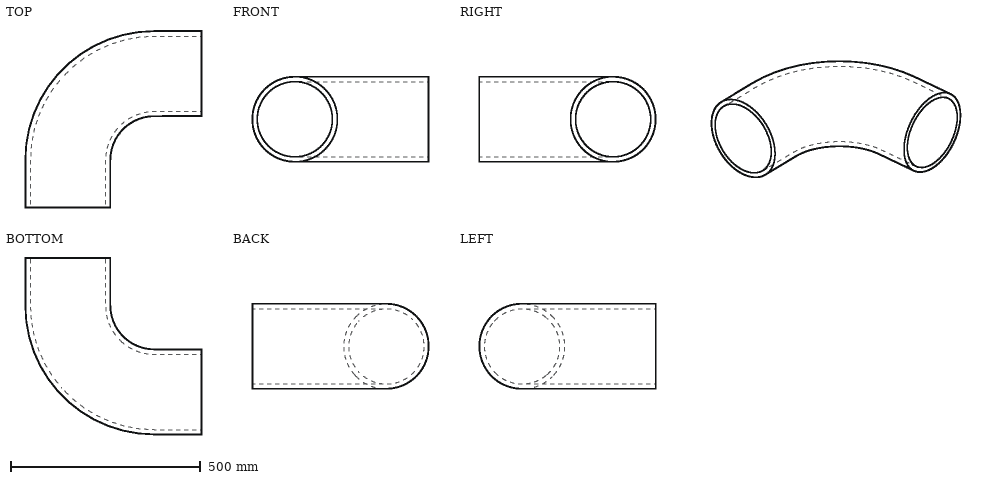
import cadquery as cq

overall_length = 465.5
outer_diameter = 225.0
bore_diameter = 198.5
straight_length = 125.0

bend_radius = overall_length - straight_length - outer_diameter / 2
bend_angle = 90


def ring(plane):
    """Pipe cross-section centred on the given plane."""
    return cq.Workplane(plane).circle(outer_diameter / 2).circle(bore_diameter / 2)


lower_end = cq.Plane(origin=(-bend_radius, 0, 0), xDir=(1, 0, 0), normal=(0, -1, 0))
upper_end = cq.Plane(origin=(0, bend_radius, 0), xDir=(0, 1, 0), normal=(1, 0, 0))

bend = ring(lower_end).revolve(bend_angle, (bend_radius, 0), (bend_radius, -1))

lower_leg = ring(lower_end).extrude(straight_length)
upper_leg = ring(upper_end).extrude(straight_length)

result = bend.union(lower_leg).union(upper_leg)